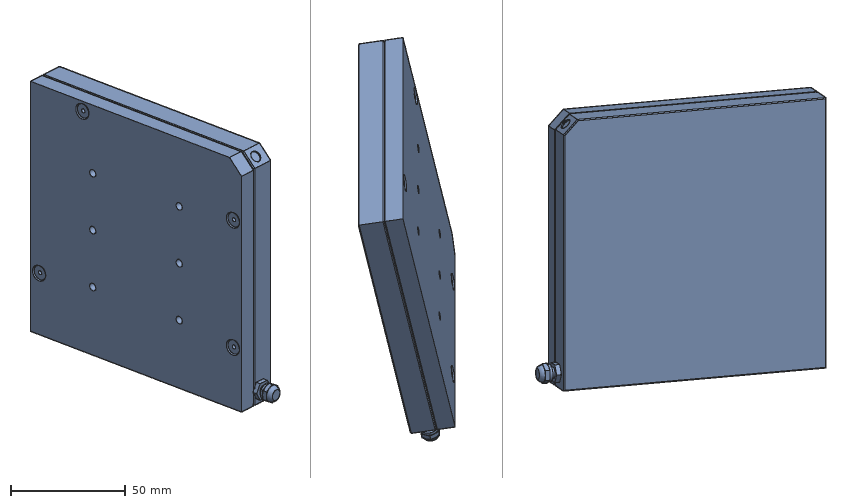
import cadquery as cq


total_length = 131.5
side = 122.0
thickness = 20.0
front_thickness = 8.4
rear_thickness = thickness - front_thickness

front_corner_cut = 7.0
rear_corner_cut = 6.5
edge_bevel = 0.5

mount_hole_diameter = 3.5
mount_spacing_x = 50.0
mount_spacing_z = 27.7
mount_columns = 2
mount_rows = 3

seat_diameter = 7.5
seat_floor_diameter = 6.7
seat_depth = 0.7
seat_hole_diameter = 1.8
seat_hole_depth = 2.6
seat_inset = 5.0
seat_setback = 30.0
seat_positions = [
    (seat_setback, side - seat_inset),
    (side - seat_inset, side - seat_setback),
    (side - seat_inset, seat_setback),
    (seat_inset, seat_setback),
]

corner_recess_diameter = 5.1
corner_recess_depth = 0.7
corner_recess_y = 13.3

gland_y = 12.2
gland_z = 6.8
gland_length = total_length - side
flange_across_corners = 9.3
nut_across_corners = 9.1
cap_diameter = 7.8
neck_diameter = 5.1
dome_end_diameter = 5.0
flange_end = 2.2
neck_end = 3.7
nut_start = 5.0
nut_end = 7.2


def corner_cut_plate(y_start, plate_thickness, corner_cut):
    """Square plate with its top right corner cut off at 45 degrees."""
    outline = [
        (0, 0),
        (side, 0),
        (side, side - corner_cut),
        (side - corner_cut, side),
        (0, side),
    ]
    plane = cq.Workplane("XZ", origin=(0, y_start, 0))
    return plane.polyline(outline).close().extrude(-plate_thickness)


def screw_seat(x, z):
    """Cutting tool for one screw seat, sunk from the front face."""
    floor_radius = seat_floor_diameter / 2
    hole_radius = seat_hole_diameter / 2
    hole_end = seat_depth + seat_hole_depth
    profile = [
        (0, 0),
        (seat_diameter / 2, 0),
        (floor_radius, seat_depth),
        (hole_radius, seat_depth),
        (hole_radius, hole_end),
        (0, hole_end),
    ]
    tool = cq.Workplane("XY").polyline(profile).close().revolve(360, (0, 0, 0), (0, 1, 0))
    return tool.translate((x, 0, z))


def make_front_plate():
    plate = corner_cut_plate(0, front_thickness, front_corner_cut)
    plate = plate.faces(">Y").chamfer(edge_bevel)
    mount_holes = (
        cq.Workplane("XZ", origin=(side / 2, 0, side / 2))
        .rarray(mount_spacing_x, mount_spacing_z, mount_columns, mount_rows)
        .circle(mount_hole_diameter / 2)
        .extrude(-front_thickness)
    )
    plate = plate.cut(mount_holes)
    for x, z in seat_positions:
        plate = plate.cut(screw_seat(x, z))
    return plate


def make_rear_plate():
    plate = corner_cut_plate(front_thickness, rear_thickness, rear_corner_cut)
    plate = plate.faces("<Y or >Y").chamfer(edge_bevel)
    cut_middle = side - rear_corner_cut / 2
    corner_plane = cq.Plane(
        origin=(cut_middle, corner_recess_y, cut_middle), xDir=(0, 1, 0), normal=(1, 0, 1)
    )
    recess = cq.Workplane(corner_plane).circle(corner_recess_diameter / 2).extrude(-corner_recess_depth)
    return plate.cut(recess)


def make_gland():
    """Hexagonal flange, neck and domed cap with a hexagonal nut, along +X."""
    def section(start):
        return cq.Workplane("YZ", origin=(side + start, gland_y, gland_z))

    flange = section(0).polygon(6, flange_across_corners).extrude(flange_end)
    nut = (
        section(nut_start)
        .transformed(rotate=(0, 0, 30))
        .polygon(6, nut_across_corners)
        .extrude(nut_end - nut_start)
    )
    turned = (
        cq.Workplane("XY", origin=(side, gland_y, gland_z))
        .moveTo(flange_end, 0)
        .lineTo(flange_end, neck_diameter / 2)
        .lineTo(neck_end, neck_diameter / 2)
        .lineTo(neck_end, cap_diameter / 2)
        .lineTo(nut_end, cap_diameter / 2)
        .tangentArcPoint((gland_length, dome_end_diameter / 2), relative=False)
        .lineTo(gland_length, 0)
        .close()
        .revolve(360, (0, 0, 0), (1, 0, 0))
    )
    return flange.union(turned).union(nut)


front_plate = make_front_plate()
rear_plate = make_rear_plate()
gland = make_gland()

result = cq.Compound.makeCompound([front_plate.val(), rear_plate.val(), gland.val()])